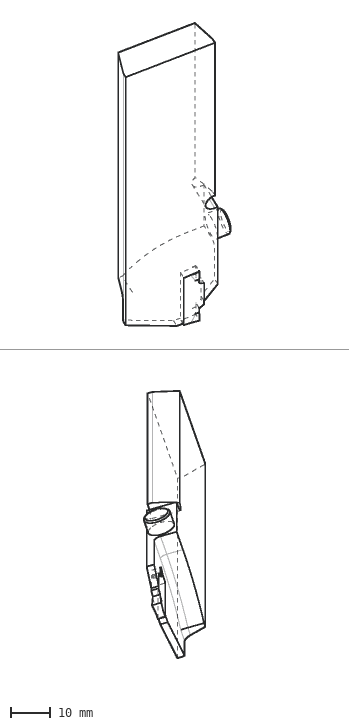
import cadquery as cq
import math

top_z = 110.8
shank_width = 8.0
shank_back_y = 25.2
foot_back_y = 25.9
bevel_width = 6.6
bevel_depth = bevel_width * math.tan(math.radians(15))

front_corner_z = 9.4
nose_y = 14.4
nose_z = 1.1
back_corner_z = 11.7
back_slope_end_y = 22.0
back_slope_end_z = 7.0

notch_radius = 2.5
notch_y = 25.0
notch_z = 45.9

blade_left_x = 6.0
shoulder_back_z = 26.6
shoulder_front_z = 19.0
arc_back_y = 20.7
arc_front_y = 2.9
shoulder_fillet = 1.7
clearance = 5.5

stud_diameter = 7.0
stud_length = 4.1
stud_chamfer = 0.4
stud_x = 4.1
stud_z = 31.0

insert_mid_z = 10.0
insert_front_y = 16.4
insert_rake_y = 20.7
insert_hump_y = back_slope_end_y
insert_half_length = insert_mid_z
insert_front_relief = 0.3
hump_half_length = 4.3
hump_base_half_length = 5.2
head_overhang = 0.2
head_flank_y = 18.3
head_root_y = 19.6
head_root_height = 3.2
blade_mid_x = (blade_left_x + shank_width) / 2
blade_width = shank_width - blade_left_x


def side_prism(outline, x_start, x_end):
    """Closed (Y, Z) outline extruded along X."""
    return cq.Workplane("YZ", origin=(x_start, 0, 0)).polyline(outline).close().extrude(x_end - x_start)


def make_shank():
    side_outline = [
        (0, top_z),
        (0, front_corner_z),
        (nose_y, nose_z),
        (insert_front_y, nose_z),
        (back_slope_end_y, back_slope_end_z),
        (foot_back_y, back_corner_z),
        (foot_back_y, notch_z),
        (shank_back_y, notch_z),
        (shank_back_y, top_z),
    ]
    return side_prism(side_outline, 0, shank_width)


def make_front_bevel():
    corner = [(0, 0), (bevel_width, 0), (0, bevel_depth)]
    return cq.Workplane("XY").polyline(corner).close().extrude(top_z)


def make_back_bevel():
    corner = [(0, shank_back_y), (bevel_width, shank_back_y), (0, shank_back_y - bevel_depth)]
    return cq.Workplane("XY", origin=(0, 0, notch_z)).polyline(corner).close().extrude(top_z - notch_z)


def make_notch():
    round_cut = cq.Workplane("YZ").center(notch_y, notch_z).circle(notch_radius).extrude(shank_width)
    mouth = cq.Workplane("XY").box(
        shank_width, clearance, 2 * notch_radius, centered=(False, False, True)
    ).translate((0, notch_y, notch_z))
    return round_cut.union(mouth)


def make_blade_relief():
    """Space beside the blade, bounded above by the curved shoulder."""
    run = arc_back_y - arc_front_y
    drop = shoulder_back_z - shoulder_front_z
    arc_radius = (run**2 + drop**2) / (2 * drop)
    half_sweep = math.asin(run / arc_radius) / 2
    arc_mid = (
        arc_back_y - arc_radius * math.sin(half_sweep),
        shoulder_back_z - arc_radius * (1 - math.cos(half_sweep)),
    )
    relief = (
        cq.Workplane("YZ", origin=(-clearance, 0, 0))
        .moveTo(foot_back_y + clearance, -clearance)
        .lineTo(foot_back_y + clearance, shoulder_back_z)
        .lineTo(arc_back_y, shoulder_back_z)
        .threePointArc(arc_mid, (arc_front_y, shoulder_front_z))
        .lineTo(-clearance, shoulder_front_z)
        .lineTo(-clearance, -clearance)
        .close()
        .extrude(blade_left_x + clearance)
    )
    upper_edges = cq.selectors.BoxSelector(
        (blade_left_x - 1.1, -2 * clearance, shoulder_front_z - 1.1),
        (blade_left_x + 1.1, foot_back_y + 2 * clearance, shoulder_back_z + 1.1),
    )
    return relief.edges(upper_edges).fillet(shoulder_fillet)


def make_stud():
    return (
        cq.Workplane("XZ", origin=(stud_x, foot_back_y, stud_z))
        .circle(stud_diameter / 2)
        .extrude(-stud_length)
        .faces(">Y")
        .chamfer(stud_chamfer)
    )


def make_insert_core():
    """Insert without its widened heads, flush with both blade faces."""
    lower_half = [
        (insert_front_y, -insert_half_length + insert_front_relief),
        (insert_rake_y, -insert_half_length),
        (insert_rake_y, -hump_base_half_length),
        (insert_hump_y, -hump_half_length),
    ]
    upper_half = [(y, -z) for y, z in reversed(lower_half)]
    outline = [(y, insert_mid_z + z) for y, z in lower_half + upper_half]
    return side_prism(outline, blade_left_x, shank_width)


def make_lower_head():
    """Widened cutting end; its flanks taper from the tip to the blade faces."""
    flank_z = insert_front_relief * (insert_rake_y - head_flank_y) / (insert_rake_y - insert_front_y)
    outline = [
        (head_flank_y, flank_z),
        (insert_rake_y, 0),
        (insert_rake_y, head_root_height),
        (head_root_y, head_root_height),
    ]
    block = side_prism(outline, blade_left_x - head_overhang, shank_width + head_overhang)

    line_y = head_root_y - head_flank_y
    line_z = head_root_height - flank_z
    line_length = math.hypot(line_y, line_z)
    tip_distance = ((insert_rake_y - head_flank_y) * line_z + flank_z * line_y) / line_length
    root_half_width = blade_width / 2
    tip_half_width = root_half_width + head_overhang
    flank_plane = cq.Plane(
        origin=(blade_mid_x, head_flank_y, flank_z),
        xDir=(0, line_z, -line_y),
        normal=(0, line_y, line_z),
    )
    wedge = (
        cq.Workplane(flank_plane)
        .polyline([
            (0, -root_half_width),
            (tip_distance, -tip_half_width),
            (tip_distance, tip_half_width),
            (0, root_half_width),
        ])
        .close()
        .extrude(2 * line_length, both=True)
    )
    return block.intersect(wedge)


def make_insert():
    lower_head = make_lower_head()
    upper_head = lower_head.mirror("XY", (0, 0, insert_mid_z))
    return make_insert_core().union(lower_head).union(upper_head)


def make_holder():
    return (
        make_shank()
        .cut(make_front_bevel())
        .cut(make_back_bevel())
        .cut(make_notch())
        .cut(make_blade_relief())
        .cut(make_insert_core())
        .union(make_stud())
    )


holder = make_holder()
insert = make_insert()
result = cq.Compound.makeCompound([holder.val(), insert.val()])